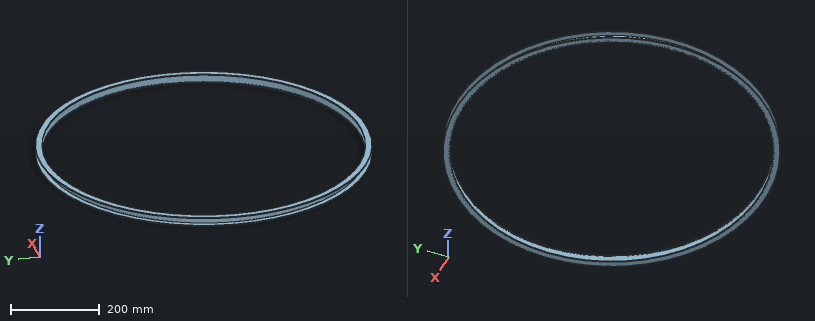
import cadquery as cq

outer_diameter = 760.0
inner_diameter = 729.5
groove_diameter = 736.0
recess_depth = 0.4
height = 22.0
flange_thickness = 2.65

web_height = height - 2 * flange_thickness
recess_diameter = inner_diameter + 2 * recess_depth


def ring(outside, inside, thickness, bottom):
    """Flat ring about the Z axis, standing on the plane Z = bottom."""
    return (
        cq.Workplane("XY", origin=(0, 0, bottom))
        .circle(outside / 2)
        .circle(inside / 2)
        .extrude(thickness)
    )


result = ring(groove_diameter, recess_diameter, web_height, -web_height / 2)

for flange_bottom in (-height / 2, web_height / 2):
    flange = ring(outer_diameter, inner_diameter, flange_thickness, flange_bottom)
    result = result.union(flange)